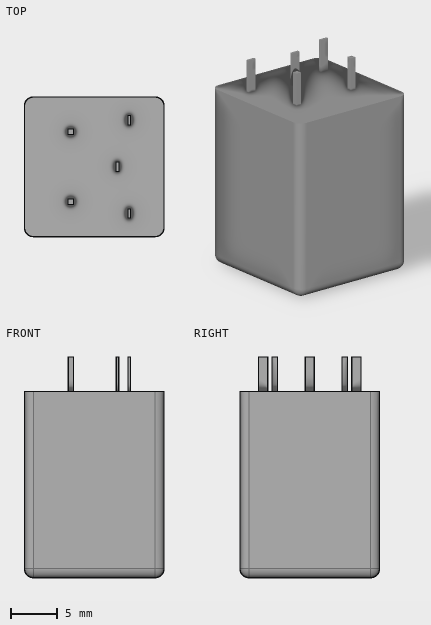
import cadquery as cq

CASE_SIDE = 15.0
CASE_HEIGHT = 20.0
EDGE_RADIUS = 1.0

PIN_LENGTH = 3.7
PIN_PITCH = 1.25

COIL_PIN_SIDE = 0.6
COIL_PIN_X = -2 * PIN_PITCH
COIL_PIN_Y = 3 * PIN_PITCH

BLADE_THICKNESS = 0.3
BLADE_WIDTH = 1.0
OUTER_BLADE_X = 3 * PIN_PITCH
OUTER_BLADE_Y = 4 * PIN_PITCH
COMMON_BLADE_X = 2 * PIN_PITCH


def make_case():
    """Block resting on Z = 0 with every edge rounded except the top rim."""
    block = cq.Workplane("XY").box(CASE_SIDE, CASE_SIDE, CASE_HEIGHT, centered=(True, True, False))
    return block.edges("|Z or <Z").fillet(EDGE_RADIUS)


def make_pins(centres, size_x, size_y):
    """Rectangular pins rising from the top face at the given XY centres."""
    top_face = cq.Workplane("XY").workplane(offset=CASE_HEIGHT)
    return top_face.pushPoints(centres).rect(size_x, size_y).extrude(PIN_LENGTH)


coil_pin_centres = [(COIL_PIN_X, side * COIL_PIN_Y) for side in (-1, 1)]
outer_blade_centres = [(OUTER_BLADE_X, side * OUTER_BLADE_Y) for side in (-1, 1)]
blade_centres = outer_blade_centres + [(COMMON_BLADE_X, 0)]

coil_pins = make_pins(coil_pin_centres, COIL_PIN_SIDE, COIL_PIN_SIDE)
contact_blades = make_pins(blade_centres, BLADE_THICKNESS, BLADE_WIDTH)

result = make_case().union(coil_pins).union(contact_blades)